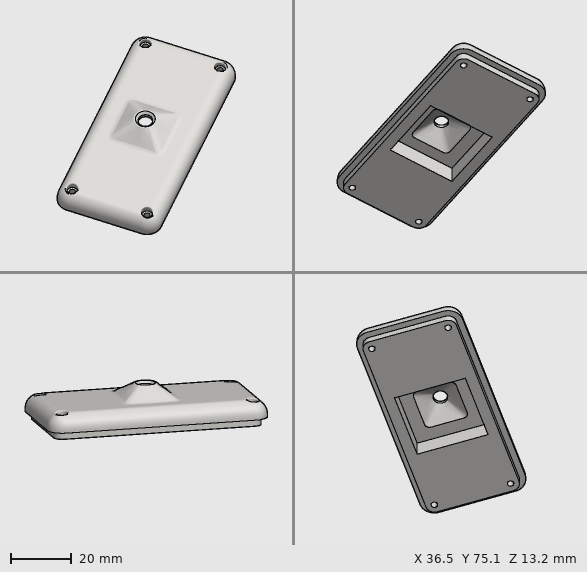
import cadquery as cq

WIDTH = 36.5
LENGTH = 75.1
TOTAL_HEIGHT = 13.15
ROUND_RADIUS = 5.0
LIP_HEIGHT = 2.6
LIP_INSET = 2.1
BAND_HEIGHT = 0.9
PLATE_TOP = LIP_HEIGHT + BAND_HEIGHT + ROUND_RADIUS
WALL = 2.0

HUB_CENTRE_X = -0.2
HUB_CENTRE_Y = -0.2
HUB_SIDE = 18.85
HUB_CORNER_RADIUS = 1.7
HUB_RIM_DIAMETER = 7.5
HUB_RIM_FILLET = 0.4
HUB_FOOT_FILLET = 2.7

HUB_HOLE_DIAMETER = 4.8
HUB_SINK_DIAMETER = 6.5
HUB_SINK_DEPTH = 0.8

CAVITY_WIDTH = 24.6
CAVITY_LENGTH = 23.5
CAVITY_TOP = PLATE_TOP - WALL
HUB_CAVITY_SIDE = HUB_SIDE - 2 * WALL
HUB_CAVITY_RIM_DIAMETER = HUB_HOLE_DIAMETER
HUB_CAVITY_TOP = TOTAL_HEIGHT - WALL

SCREW_DIAMETER = 2.1
SCREW_HEAD_DIAMETER = 3.6
SCREW_HEAD_DEPTH = WALL
SCREW_RIM_FILLET = 0.4
SCREW_X = WIDTH / 2 - ROUND_RADIUS
SCREW_Y = LENGTH / 2 - ROUND_RADIUS

SELECT_MARGIN = 0.1


def rounded_block(width, length, radius, bottom, height):
    block = cq.Workplane("XY").workplane(offset=bottom).rect(width, length).extrude(height)
    return block.edges("|Z").fillet(radius)


def hub_blend(side, corner_radius, bottom, diameter, top):
    square = cq.Sketch().rect(side, side).vertices().fillet(corner_radius)
    circle = cq.Sketch().circle(diameter / 2).moved(cq.Location(cq.Vector(0, 0, top - bottom)))
    base = cq.Workplane("XY", origin=(HUB_CENTRE_X, HUB_CENTRE_Y, bottom))
    return base.placeSketch(square, circle).loft()


def edges_inside(body, centre_x, centre_y, half_width, bottom, top):
    box = cq.selectors.BoxSelector(
        (centre_x - half_width, centre_y - half_width, bottom),
        (centre_x + half_width, centre_y + half_width, top),
        boundingbox=True,
    )
    return body.edges(box)


def make_plate():
    body = rounded_block(WIDTH, LENGTH, ROUND_RADIUS, LIP_HEIGHT, PLATE_TOP - LIP_HEIGHT)
    body = body.faces(">Z").edges().fillet(ROUND_RADIUS)
    lip_width = WIDTH - 2 * LIP_INSET
    lip_length = LENGTH - 2 * LIP_INSET
    lip = rounded_block(lip_width, lip_length, ROUND_RADIUS - LIP_INSET, 0, LIP_HEIGHT)
    return body.union(lip)


def add_hub(plate):
    hub = hub_blend(HUB_SIDE, HUB_CORNER_RADIUS, PLATE_TOP, HUB_RIM_DIAMETER, TOTAL_HEIGHT)
    body = plate.union(hub)
    foot = edges_inside(
        body, HUB_CENTRE_X, HUB_CENTRE_Y, HUB_SIDE / 2 + SELECT_MARGIN,
        PLATE_TOP - SELECT_MARGIN, PLATE_TOP + SELECT_MARGIN,
    )
    body = foot.fillet(HUB_FOOT_FILLET)
    return body.faces(">Z").edges().fillet(HUB_RIM_FILLET)


def make_hub_cavity():
    pocket = cq.Workplane("XY").rect(CAVITY_WIDTH, CAVITY_LENGTH).extrude(CAVITY_TOP)
    dome = hub_blend(
        HUB_CAVITY_SIDE, HUB_CORNER_RADIUS, CAVITY_TOP, HUB_CAVITY_RIM_DIAMETER, HUB_CAVITY_TOP
    )
    return pocket.union(dome)


def make_hub_hole():
    radius = HUB_HOLE_DIAMETER / 2
    profile = [
        (0, 0),
        (radius, 0),
        (radius, TOTAL_HEIGHT - HUB_SINK_DEPTH),
        (HUB_SINK_DIAMETER / 2, TOTAL_HEIGHT),
        (0, TOTAL_HEIGHT),
    ]
    hole = cq.Workplane("XZ").polyline(profile).close().revolve(360, (0, 0), (0, 1))
    return hole.translate((HUB_CENTRE_X, HUB_CENTRE_Y, 0))


def add_screw_hole(body, x, y):
    shaft = cq.Workplane("XY", origin=(x, y, 0)).circle(SCREW_DIAMETER / 2).extrude(PLATE_TOP)
    floor = cq.Workplane("XY", origin=(x, y, PLATE_TOP - SCREW_HEAD_DEPTH))
    head = floor.circle(SCREW_HEAD_DIAMETER / 2).extrude(SCREW_HEAD_DEPTH)
    body = body.cut(shaft).cut(head)
    rim = edges_inside(
        body, x, y, SCREW_HEAD_DIAMETER / 2 + SELECT_MARGIN,
        PLATE_TOP - SCREW_HEAD_DEPTH / 2, PLATE_TOP + SELECT_MARGIN,
    )
    return rim.fillet(SCREW_RIM_FILLET)


result = make_plate()
for screw_x in (-SCREW_X, SCREW_X):
    for screw_y in (-SCREW_Y, SCREW_Y):
        result = add_screw_hole(result, screw_x, screw_y)
result = add_hub(result)
result = result.cut(make_hub_hole()).cut(make_hub_cavity())